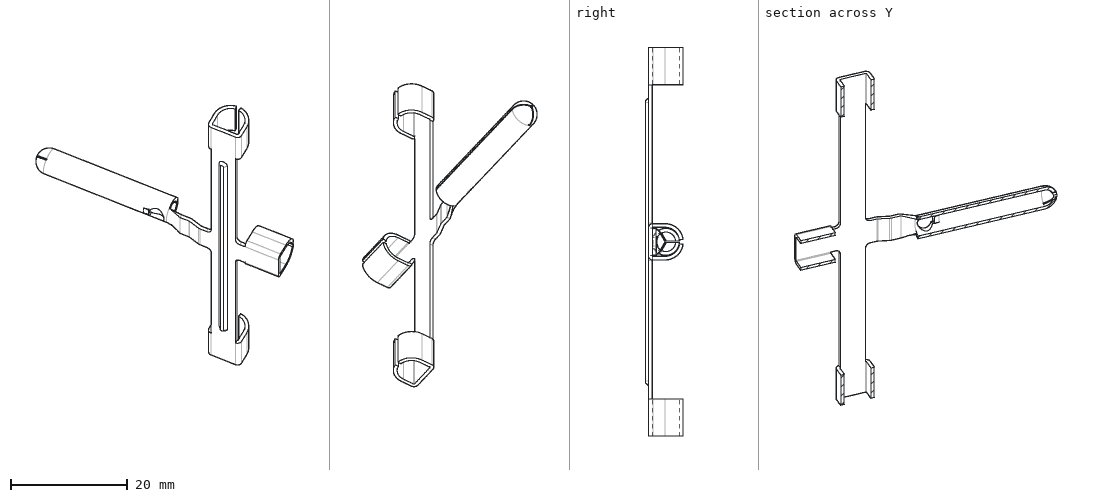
import cadquery as cq
import math


sheet = 0.65
strip_width = 4.65
strip_length = 66.65
arm_end = 10.5
cross_corner_radius = 0.85

clip_length = 6.4
clip_arch_height = 2.85
clip_bend_radius = 0.8
clip_width = strip_width + 2 * clip_bend_radius
clip_gap_angle = 15.0

bead_length = 49.3
bead_width = 1.5
bead_height = 0.5
bead_taper = 41.0

pin_radius = 2.3
pin_offset = 0.65
pin_end = -11.2
dome_start = -34.65
slit_width = 0.2
petal_count = 3
pin_axis_y = pin_offset + pin_radius
pin_bore_radius = pin_radius - sheet

window_x = -13.1
window_radius = 1.45
tongue_root = -15.6
tongue_end = -14.65
tongue_width = 1.45
tongue_angle = 8.0

neck_arc_half_angle = 60.0
neck_flat_start = -8.6
step_start = -6.8
step_end = -4.6
step_bend_radius = 0.5


def flat_cross():
    """Flat strip and the two arms, with rounded inner corners."""
    strip = cq.Workplane("XY").box(strip_width, sheet, strip_length, centered=(True, False, True))
    half_width = strip_width / 2
    arm_start = -half_width - 2 * cross_corner_radius
    arms = cq.Workplane("XY").box(
        arm_end - arm_start, sheet, strip_width, centered=(False, False, True)
    ).translate((arm_start, 0, 0))
    box_half = half_width + cross_corner_radius
    inner_corners = cq.selectors.BoxSelector(
        (-box_half, -sheet, -box_half), (box_half, 2 * sheet, box_half)
    )
    return strip.union(arms).edges("|Y").edges(inner_corners).fillet(cross_corner_radius)


def arch_profile(half_width, base, bend_radius, length):
    """Solid with a flat base, rounded lower corners and a semicircular top."""
    outline = (
        cq.Workplane("XY")
        .moveTo(-half_width, base)
        .lineTo(half_width, base)
        .lineTo(half_width, clip_arch_height)
        .threePointArc((0, clip_arch_height + half_width), (-half_width, clip_arch_height))
        .close()
        .extrude(length)
    )
    return outline.edges("|Z").edges("<Y").fillet(bend_radius)


def spring_clip():
    """Open clip standing on Z = 0, with its gap on the +Y side."""
    half_width = clip_width / 2
    outer = arch_profile(half_width, 0, clip_bend_radius, clip_length)
    inner = arch_profile(half_width - sheet, sheet, clip_bend_radius - sheet, clip_length)
    gap_half_width = clip_width * math.tan(math.radians(clip_gap_angle / 2))
    gap = (
        cq.Workplane("XY")
        .moveTo(0, clip_arch_height)
        .lineTo(gap_half_width, clip_arch_height + clip_width)
        .lineTo(-gap_half_width, clip_arch_height + clip_width)
        .close()
        .extrude(clip_length)
    )
    return outer.cut(inner).cut(gap)


def bead():
    """Stiffening bead raised from the front face, with sloping sides."""
    return (
        cq.Workplane("XZ")
        .slot2D(bead_length, bead_width, 90)
        .extrude(bead_height, taper=bead_taper)
    )


def pin_body(radius):
    """Solid pin of the given radius with a hemispherical tip."""
    shaft = cq.Workplane("YZ").circle(radius).extrude(pin_end - dome_start)
    tip = cq.Workplane("XY").sphere(radius)
    return shaft.union(tip).translate((dome_start, pin_axis_y, 0))


def radial_slit(start, end):
    """Thin cutter from the pin axis out past the +Y side of the pin."""
    slit = cq.Workplane("XY").box(
        end - start, pin_radius + sheet, slit_width, centered=(False, False, True)
    )
    return slit.translate((start, pin_axis_y, 0))


def tongue_block(length):
    """Block through the front wall of the pin, starting at the tongue root."""
    block = cq.Workplane("XY").box(length, pin_radius, tongue_width, centered=(False, False, True))
    return block.translate((tongue_root, pin_offset, 0))


def rolled_pin():
    """Hollow pin with a seam, a petalled dome, a window and a tongue."""
    shell = pin_body(pin_radius).cut(pin_body(pin_bore_radius))
    tongue = shell.intersect(tongue_block(tongue_end - tongue_root))
    tongue = tongue.rotate(
        (tongue_root, pin_offset, 0), (tongue_root, pin_offset, 1), tongue_angle
    )

    pin = shell.cut(radial_slit(dome_start, pin_end))
    dome_tip = dome_start - pin_radius
    for i in range(petal_count):
        slit = radial_slit(dome_tip, dome_start).rotate(
            (0, pin_axis_y, 0), (1, pin_axis_y, 0), i * 360 / petal_count
        )
        pin = pin.cut(slit)

    window = (
        cq.Workplane("XZ", origin=(window_x, pin_axis_y, 0)).circle(window_radius).extrude(pin_radius)
    )
    pin = pin.cut(window).cut(tongue_block(window_x - tongue_root))
    return pin.union(tongue)


def neck_transition():
    """Sheet that flattens from the curve of the pin to the flat neck."""
    half_angle = math.radians(neck_arc_half_angle)

    def on_circle(radius, angle):
        return (pin_axis_y - radius * math.cos(angle), radius * math.sin(angle))

    half_width = strip_width / 2
    return (
        cq.Workplane("YZ", origin=(pin_end, 0, 0))
        .moveTo(*on_circle(pin_radius, -half_angle))
        .threePointArc(on_circle(pin_radius, 0), on_circle(pin_radius, half_angle))
        .lineTo(*on_circle(pin_bore_radius, half_angle))
        .threePointArc(on_circle(pin_bore_radius, 0), on_circle(pin_bore_radius, -half_angle))
        .close()
        .workplane(offset=neck_flat_start - pin_end)
        .moveTo(pin_offset, -half_width)
        .lineTo(pin_offset, half_width)
        .lineTo(pin_offset + sheet, half_width)
        .lineTo(pin_offset + sheet, -half_width)
        .close()
        .loft(ruled=True)
    )


def stepped_neck():
    """Flat neck that steps from the front of the pin down to the cross."""
    step_angle = math.atan2(pin_offset, step_end - step_start)
    back_shift = sheet * math.tan(step_angle / 2)
    neck_end = -strip_width / 2
    neck = (
        cq.Workplane("XY", origin=(0, 0, -strip_width / 2))
        .moveTo(neck_flat_start, pin_offset)
        .lineTo(step_start, pin_offset)
        .lineTo(step_end, 0)
        .lineTo(neck_end, 0)
        .lineTo(neck_end, sheet)
        .lineTo(step_end + back_shift, sheet)
        .lineTo(step_start + back_shift, pin_offset + sheet)
        .lineTo(neck_flat_start, pin_offset + sheet)
        .close()
        .extrude(strip_width)
    )
    outer_radius = step_bend_radius + sheet
    bends = [
        (step_start, pin_offset, step_bend_radius),
        (step_start + back_shift, pin_offset + sheet, outer_radius),
        (step_end, 0, outer_radius),
        (step_end + back_shift, sheet, step_bend_radius),
    ]
    for x, y, radius in bends:
        neck = neck.edges(cq.selectors.NearestToPointSelector((x, y, 0))).fillet(radius)
    return neck


clip = spring_clip()
top_clip = clip.translate((0, 0, strip_length / 2 - clip_length))
bottom_clip = clip.translate((0, 0, -strip_length / 2))
arm_clip = clip.rotate((0, 0, 0), (0, 1, 0), 90).translate((arm_end - clip_length, 0, 0))

result = flat_cross()
features = [top_clip, bottom_clip, arm_clip, bead(), stepped_neck(), neck_transition(), rolled_pin()]
for feature in features:
    result = result.union(feature)